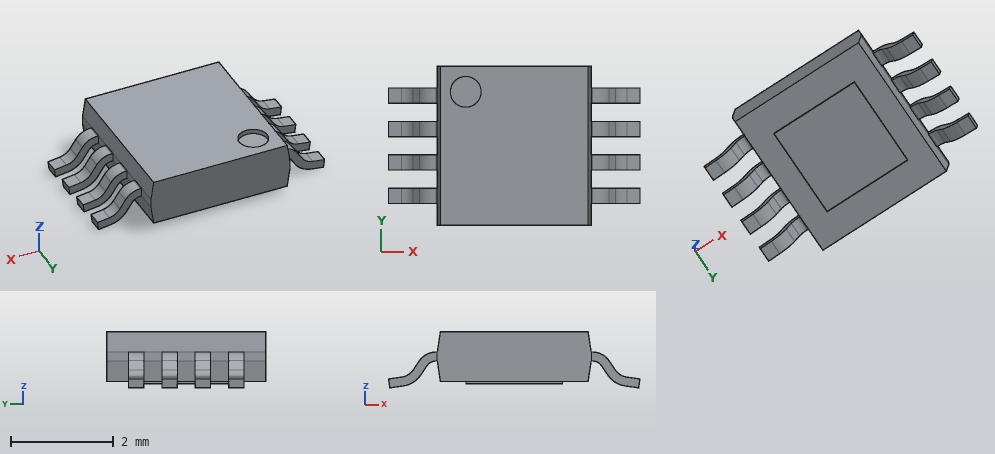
import cadquery as cq
import math

package_height = 1.1
lead_span = 4.9

body_width = 3.0
body_length = 3.1
body_height = 0.975
side_taper = 0.06
standoff = package_height - body_height

mark_diameter = 0.6
mark_depth = 0.1
mark_x = -0.945
mark_y = 1.05

pad_side = 1.88
pad_thickness = 0.045

leads_per_side = 4
lead_pitch = 0.65
lead_width = 0.3
lead_thickness = 0.18
shoulder_length = 0.025
shank_angle = math.radians(56)
foot_angle = math.radians(8)
upper_bend_radius = 0.30
lower_bend_radius = 0.414

half_width = body_width / 2
half_thickness = lead_thickness / 2
lead_exit_z = standoff + body_height / 2


def make_body():
    """Block with a flat band at lead height, tapering in above and below it."""
    narrow_half = half_width - side_taper
    band_bottom = lead_exit_z - half_thickness
    band_top = lead_exit_z + half_thickness
    block = (
        cq.Workplane("XZ")
        .moveTo(-narrow_half, standoff)
        .lineTo(narrow_half, standoff)
        .lineTo(half_width, band_bottom)
        .lineTo(half_width, band_top)
        .lineTo(narrow_half, package_height)
        .lineTo(-narrow_half, package_height)
        .lineTo(-half_width, band_top)
        .lineTo(-half_width, band_bottom)
        .close()
        .extrude(body_length / 2, both=True)
    )
    mark = (
        cq.Workplane("XY", origin=(mark_x, mark_y, package_height - mark_depth))
        .circle(mark_diameter / 2)
        .extrude(mark_depth)
    )
    return block.cut(mark)


def make_pad():
    """Thin plate against the underside of the body."""
    return (
        cq.Workplane("XY", origin=(0, 0, standoff - pad_thickness))
        .rect(pad_side, pad_side)
        .extrude(pad_thickness)
    )


def on_circle(center, radius, angle):
    """Point at the given angle from vertical, positive toward +X."""
    return (center[0] + radius * math.sin(angle), center[1] + radius * math.cos(angle))


def make_lead():
    """Lead on the +X side, centred on Y = 0: shoulder, bend, shank, bend and foot."""
    upper_outer = upper_bend_radius + half_thickness
    upper_inner = upper_bend_radius - half_thickness
    lower_outer = lower_bend_radius + half_thickness
    lower_inner = lower_bend_radius - half_thickness

    upper_center = (half_width + shoulder_length, lead_exit_z - upper_bend_radius)
    shank_top = on_circle(upper_center, upper_bend_radius, shank_angle)

    tip_top = (lead_span / 2, lead_thickness * math.cos(foot_angle))
    tip_bottom = (tip_top[0] - lead_thickness * math.sin(foot_angle), 0)
    tip_middle = ((tip_top[0] + tip_bottom[0]) / 2, tip_top[1] / 2)

    run = (
        tip_middle[0] - shank_top[0]
        - lower_bend_radius * (math.sin(shank_angle) - math.sin(foot_angle))
    )
    drop = (
        shank_top[1] - tip_middle[1]
        - lower_bend_radius * (math.cos(foot_angle) - math.cos(shank_angle))
    )
    shank_length = (
        (drop * math.cos(foot_angle) - run * math.sin(foot_angle))
        / math.sin(shank_angle - foot_angle)
    )
    shank_bottom = (
        shank_top[0] + shank_length * math.cos(shank_angle),
        shank_top[1] - shank_length * math.sin(shank_angle),
    )
    lower_center = on_circle(shank_bottom, lower_bend_radius, shank_angle)

    lower_start = math.pi + shank_angle
    lower_end = math.pi + foot_angle
    lower_middle = (lower_start + lower_end) / 2
    upper_middle = shank_angle / 2

    profile = (
        cq.Workplane("XZ")
        .moveTo(half_width, lead_exit_z + half_thickness)
        .lineTo(*on_circle(upper_center, upper_outer, 0))
        .threePointArc(
            on_circle(upper_center, upper_outer, upper_middle),
            on_circle(upper_center, upper_outer, shank_angle),
        )
        .lineTo(*on_circle(lower_center, lower_inner, lower_start))
        .threePointArc(
            on_circle(lower_center, lower_inner, lower_middle),
            on_circle(lower_center, lower_inner, lower_end),
        )
        .lineTo(*tip_top)
        .lineTo(*tip_bottom)
        .lineTo(*on_circle(lower_center, lower_outer, lower_end))
        .threePointArc(
            on_circle(lower_center, lower_outer, lower_middle),
            on_circle(lower_center, lower_outer, lower_start),
        )
        .lineTo(*on_circle(upper_center, upper_inner, shank_angle))
        .threePointArc(
            on_circle(upper_center, upper_inner, upper_middle),
            on_circle(upper_center, upper_inner, 0),
        )
        .lineTo(half_width, lead_exit_z - half_thickness)
        .close()
    )
    return profile.extrude(lead_width / 2, both=True)


def make_leads():
    """A row of separate leads along each side of the body."""
    right_lead = make_lead()
    left_lead = right_lead.mirror("YZ")
    first_y = -lead_pitch * (leads_per_side - 1) / 2
    leads = []
    for index in range(leads_per_side):
        position = (0, first_y + index * lead_pitch, 0)
        leads.append(right_lead.translate(position).val())
        leads.append(left_lead.translate(position).val())
    return leads


body = make_body()
pad = make_pad()
leads = make_leads()

result = cq.Compound.makeCompound([body.val(), pad.val(), *leads])